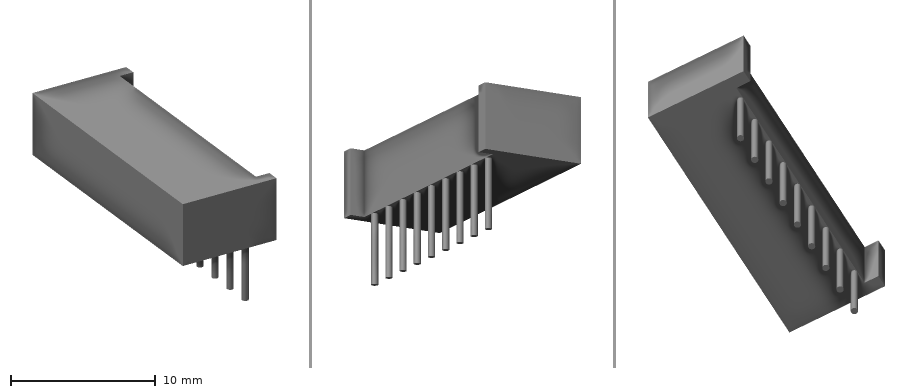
import cadquery as cq

housing_length = 19.9
housing_depth = 7.6
total_height = 9.9
pin_drop = 5.1
housing_height = total_height - pin_drop
ear_width = 0.94
notch_depth = 1.1

pin_count = 9
pin_diameter = 0.5
pin_row_span = 16.0
pin_pitch = pin_row_span / (pin_count - 1)
pin_y = housing_depth / 2 - notch_depth - pin_diameter / 2


def make_housing():
    """Block centred in X and Y with its underside at Z = 0."""
    block = cq.Workplane("XY").box(
        housing_length, housing_depth, housing_height, centered=(True, True, False)
    )
    notch = (
        cq.Workplane("XY")
        .box(housing_length - 2 * ear_width, notch_depth, housing_height, centered=(True, True, False))
        .translate((0, (housing_depth - notch_depth) / 2, 0))
    )
    return block.cut(notch)


def make_pin(x):
    """Round pin hanging from the underside of the housing."""
    return cq.Workplane("XY").center(x, pin_y).circle(pin_diameter / 2).extrude(-pin_drop)


housing = make_housing()
pins = [make_pin(-pin_row_span / 2 + i * pin_pitch) for i in range(pin_count)]

result = cq.Compound.makeCompound([housing.val(), *[pin.val() for pin in pins]])